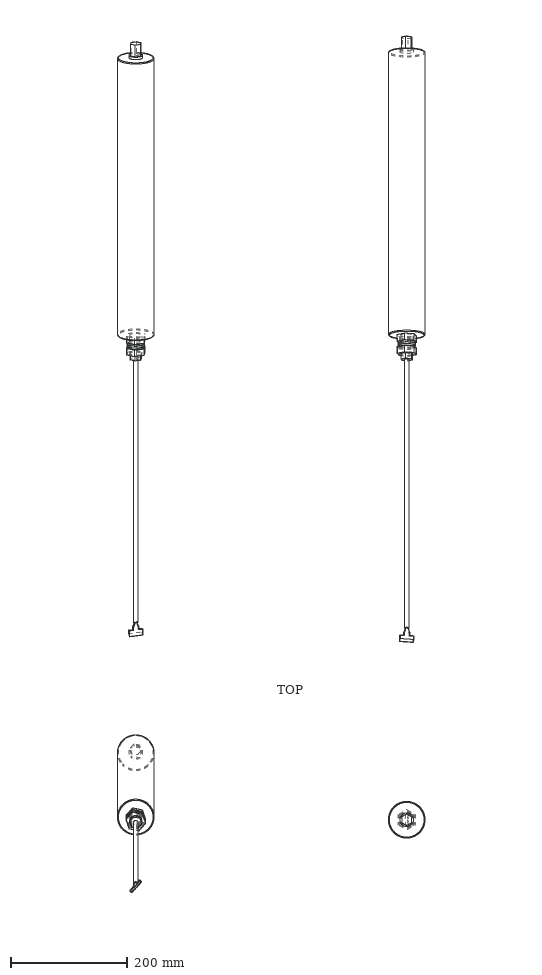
import cadquery as cq
import math


housing_diameter = 63.0
housing_length = 501.0
housing_chamfer = 1.6
spigot_diameter = 21.0

nut_across_flats = 30.0
nut_height = 12.0
washer_diameter = 30.0
washer_thickness = 10.0
washer_chamfer_height = 3.0
washer_chamfer_depth = 1.0
spigot_length = 2 * nut_height + washer_thickness

gland_across_flats = 18.0
gland_height = 10.0

fitting_across_flats = 17.0
fitting_height = 26.0
foot_diameter = 23.0
foot_thickness = 4.0

rod_diameter = 8.0
rod_top_z = -spigot_length - gland_height
rod_length = 474.0
rod_bottom_z = rod_top_z - rod_length

tab_length = 25.0
tab_thickness = 4.0
tab_neck_width = 3.0
tab_shoulder_width = 10.0
tab_shoulder_drop = 9.0
tab_plate_width = 25.0
tab_plate_height = 11.0
tab_bevel_height = 4.0
tab_bottom_z = rod_bottom_z - tab_length


def cylinder(diameter, height, bottom_z):
    return cq.Workplane("XY", origin=(0, 0, bottom_z)).circle(diameter / 2).extrude(height)


def hexagon(across_flats, height, bottom_z):
    """Upright hexagonal prism with two of its flats facing -X and +X."""
    across_corners = across_flats / math.cos(math.pi / 6)
    return (
        cq.Workplane("XY", origin=(0, 0, bottom_z))
        .transformed(rotate=(0, 0, 30))
        .polygon(6, across_corners)
        .extrude(height)
    )


def spigot_bore(height, bottom_z):
    return cylinder(spigot_diameter, height, bottom_z)


def make_housing():
    barrel = cylinder(housing_diameter, housing_length, 0).edges("%CIRCLE").chamfer(housing_chamfer)
    spigot = cylinder(spigot_diameter, spigot_length, -spigot_length)
    return barrel.union(spigot)


def make_fitting():
    foot = cylinder(foot_diameter, foot_thickness, housing_length)
    return foot.union(hexagon(fitting_across_flats, fitting_height, housing_length))


def make_nut(bottom_z):
    return hexagon(nut_across_flats, nut_height, bottom_z).cut(spigot_bore(nut_height, bottom_z))


def make_washer(bottom_z):
    disc = (
        cylinder(washer_diameter, washer_thickness, bottom_z)
        .faces("<Z or >Z")
        .edges()
        .chamfer(washer_chamfer_height, washer_chamfer_depth)
    )
    return disc.cut(spigot_bore(washer_thickness, bottom_z))


def make_gland():
    return hexagon(gland_across_flats, gland_height, rod_top_z)


def make_rod():
    return cylinder(rod_diameter, rod_length, rod_bottom_z)


def make_tab():
    """Flat plate in the YZ plane, bevelled to an edge along its bottom on the -X side."""
    shoulder_z = rod_bottom_z - tab_shoulder_drop
    plate_top_z = tab_bottom_z + tab_plate_height
    half_outline = [
        (tab_neck_width / 2, rod_bottom_z),
        (tab_shoulder_width / 2, shoulder_z),
        (tab_shoulder_width / 2, plate_top_z),
        (tab_plate_width / 2, plate_top_z),
        (tab_plate_width / 2, tab_bottom_z),
    ]
    mirrored_half = [(-y, z) for y, z in reversed(half_outline)]
    blank = (
        cq.Workplane("YZ")
        .polyline(half_outline + mirrored_half)
        .close()
        .extrude(tab_thickness / 2, both=True)
    )
    bevel = (
        cq.Workplane("XZ")
        .moveTo(-tab_thickness / 2, tab_bottom_z)
        .lineTo(tab_thickness / 2, tab_bottom_z)
        .lineTo(-tab_thickness / 2, tab_bottom_z + tab_bevel_height)
        .close()
        .extrude(tab_plate_width, both=True)
    )
    return blank.cut(bevel)


housing = make_housing()
fitting = make_fitting()
upper_nut_z = -nut_height
lower_nut_z = -spigot_length
nuts = [make_nut(bottom_z) for bottom_z in (upper_nut_z, lower_nut_z)]
washer = make_washer(upper_nut_z - washer_thickness)
gland = make_gland()
rod = make_rod()
tab = make_tab()

result = cq.Compound.makeCompound(
    [
        housing.val(),
        fitting.val(),
        *[nut.val() for nut in nuts],
        washer.val(),
        gland.val(),
        rod.val(),
        tab.val(),
    ]
)